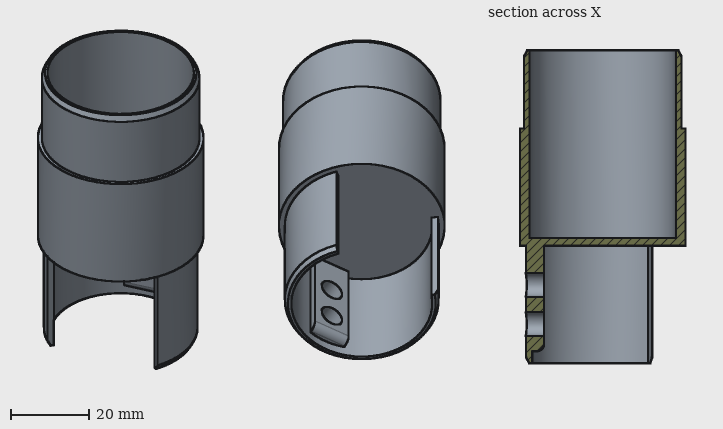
import cadquery as cq
import math

total_height = 80
skirt_height = 30.0
collar_top = 60
collar_radius = 21.2
neck_radius = 20.2
skirt_radius = 19.7

neck_bore_radius = 18.7
skirt_bore_radius = 18.0
floor_thickness = 2.0

chamfer_width = 0.8
chamfer_height = 1.5

opening_half_angle = 50

pad_width = 10.0
pad_thickness = 3.0
pad_bottom = 3.0
pad_face_y = skirt_bore_radius - pad_thickness
pad_rounding = 2.0

hole_diameter = 6.0
hole_heights = (10.0, 20)


def make_body():
    """Revolve the stepped tube with its floor and end chamfers."""
    floor_top = skirt_height + floor_thickness
    profile = [
        (0, skirt_height),
        (skirt_bore_radius, skirt_height),
        (skirt_bore_radius, 0),
        (skirt_radius - chamfer_width, 0),
        (skirt_radius, chamfer_height),
        (skirt_radius, skirt_height),
        (collar_radius, skirt_height),
        (collar_radius, collar_top),
        (neck_radius, collar_top),
        (neck_radius, total_height - chamfer_height),
        (neck_radius - chamfer_width, total_height),
        (neck_bore_radius, total_height),
        (neck_bore_radius, floor_top),
        (0, floor_top),
    ]
    outline = cq.Workplane("XZ").polyline(profile).close()
    return outline.revolve(360, (0, 0, 0), (0, 1, 0))


def make_opening():
    """Wedge with its point on the axis, reaching past the skirt wall."""
    reach = 2 * skirt_radius
    half_width = reach * math.tan(math.radians(opening_half_angle))
    wedge = [(0, 0), (-half_width, -reach), (half_width, -reach)]
    return cq.Workplane("XY").polyline(wedge).close().extrude(skirt_height)


def make_pad():
    """Flat-faced pad hanging from the floor, its lower edge toward the axis rounded."""
    pad_height = skirt_height - pad_bottom
    block = (
        cq.Workplane("XY", origin=(0, pad_face_y, pad_bottom))
        .box(pad_width, skirt_radius, pad_height, centered=(True, False, False))
        .faces("<Z")
        .edges("<Y")
        .fillet(pad_rounding)
    )
    middle_of_wall = (skirt_bore_radius + skirt_radius) / 2
    limit = cq.Workplane("XY").circle(middle_of_wall).extrude(skirt_height)
    return block.intersect(limit)


def make_holes():
    """Pins along +Y that cut the holes, one above the other."""
    centres = [(0, height) for height in hole_heights]
    plane = cq.Workplane("XZ").pushPoints(centres)
    return plane.circle(hole_diameter / 2).extrude(-collar_radius)


result = make_body().cut(make_opening()).union(make_pad()).cut(make_holes())